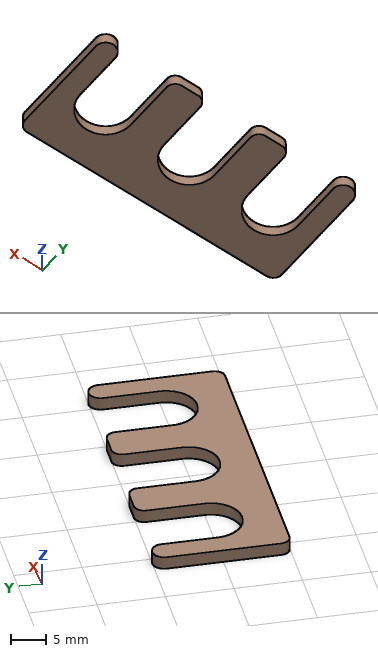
import cadquery as cq

length = 46.0
depth = 20.0
thickness = 2.0
corner_radius = 1.5

slot_count = 3
slot_width = 9.0
slot_pitch = 15.0
slot_floor = 5.5

slot_radius = slot_width / 2
slot_bottom_center_y = -depth / 2 + slot_floor + slot_radius
first_slot_x = -(slot_count - 1) / 2 * slot_pitch
end_tooth_width = first_slot_x - slot_radius + length / 2
end_tooth_radius = end_tooth_width / 2


def make_plate():
    """Rectangular plate with its two -Y corners rounded."""
    plate = cq.Workplane("XY").box(length, depth, thickness, centered=(True, True, False))
    return plate.edges("|Z and <Y").fillet(corner_radius)


def make_slot(center_x):
    """Cutter for one slot: straight sides ending in a half circle."""
    straight_length = depth / 2 - slot_bottom_center_y
    return (
        cq.Workplane("XY")
        .moveTo(center_x - slot_radius, slot_bottom_center_y)
        .threePointArc(
            (center_x, slot_bottom_center_y - slot_radius),
            (center_x + slot_radius, slot_bottom_center_y),
        )
        .line(0, straight_length)
        .line(-slot_width, 0)
        .close()
        .extrude(thickness)
    )


def make_end_tip_waste(center_x):
    """Material outside the half-round tip of one end tooth."""
    tip_center_y = depth / 2 - end_tooth_radius
    square_tip = (
        cq.Workplane("XY")
        .center(center_x, tip_center_y + end_tooth_radius / 2)
        .rect(end_tooth_width, end_tooth_radius)
        .extrude(thickness)
    )
    round_tip = (
        cq.Workplane("XY")
        .center(center_x, tip_center_y)
        .circle(end_tooth_radius)
        .extrude(thickness)
    )
    return square_tip.cut(round_tip)


result = make_plate()

for slot_index in range(slot_count):
    result = result.cut(make_slot(first_slot_x + slot_index * slot_pitch))

for side in (-1, 1):
    result = result.cut(make_end_tip_waste(side * (length / 2 - end_tooth_radius)))

result = result.edges("|Z and >Y").fillet(corner_radius)